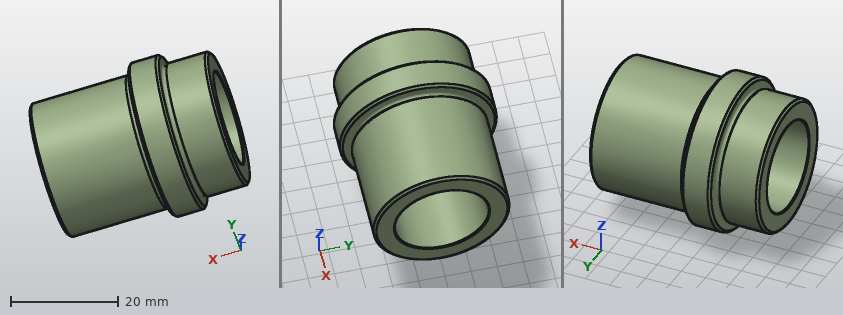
import cadquery as cq

length = 35.0
body_radius = 26.0 / 2
collar_radius = 30.0 / 2
bore_radius = 18.0 / 2

collar_start = 9.0
collar_end = 15.0
edge_chamfer = 0.5
bore_chamfer = 0.18
groove_radius = 0.5

left_groove_start = collar_start - 2 * groove_radius
right_groove_end = collar_end + 2 * groove_radius
groove_bottom = body_radius - groove_radius

half_section = (
    cq.Workplane("XY")
    .moveTo(0, bore_radius + bore_chamfer)
    .lineTo(0, body_radius - edge_chamfer)
    .lineTo(edge_chamfer, body_radius)
    .lineTo(left_groove_start, body_radius)
    .threePointArc((collar_start - groove_radius, groove_bottom), (collar_start, body_radius))
    .lineTo(collar_start, collar_radius - edge_chamfer)
    .lineTo(collar_start + edge_chamfer, collar_radius)
    .lineTo(collar_end - edge_chamfer, collar_radius)
    .lineTo(collar_end, collar_radius - edge_chamfer)
    .lineTo(collar_end, body_radius)
    .threePointArc((collar_end + groove_radius, groove_bottom), (right_groove_end, body_radius))
    .lineTo(length - edge_chamfer, body_radius)
    .lineTo(length, body_radius - edge_chamfer)
    .lineTo(length, bore_radius + bore_chamfer)
    .lineTo(length - bore_chamfer, bore_radius)
    .lineTo(bore_chamfer, bore_radius)
    .close()
)

result = half_section.revolve(360, (0, 0, 0), (1, 0, 0))